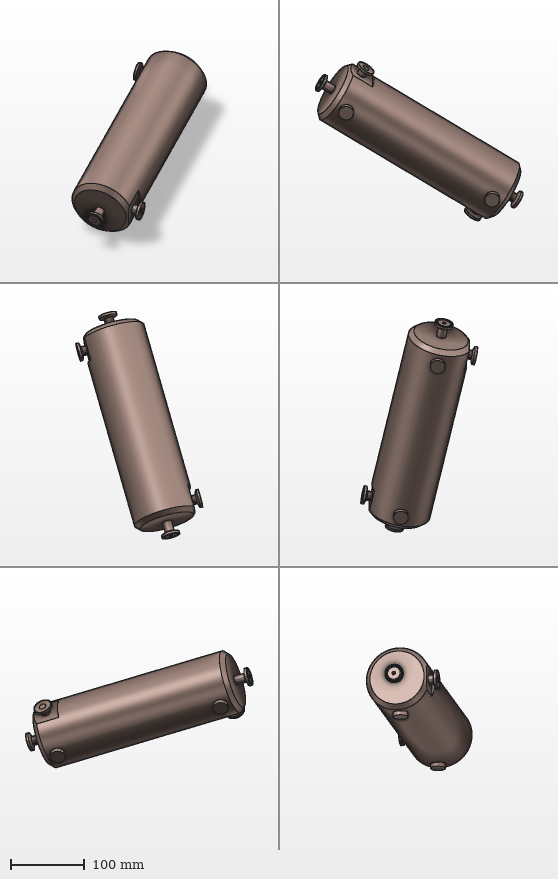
import cadquery as cq

BODY_RADIUS = 43.815
BODY_LENGTH = 279.4
BODY_CHAMFER = 6.35
HALF_LENGTH = BODY_LENGTH / 2

FLAT_DISTANCE = 40.0
FLAT_LENGTH = 38.1

FLANGE_RADIUS = 12.5
RIM_THICKNESS = 3.5
TAPER_LENGTH = 2.3
TUBE_RADIUS = 6.35

OVERALL_LENGTH = 320.04
END_NOZZLE_LENGTH = (OVERALL_LENGTH - BODY_LENGTH) / 2
END_BORE_RADIUS = 2.3
GROOVE_INNER_RADIUS = 8.8
GROOVE_OUTER_RADIUS = 11.7
GROOVE_DEPTH = 0.8

OVERALL_WIDTH = 104.65
SIDE_NOZZLE_LENGTH = OVERALL_WIDTH / 2 - FLAT_DISTANCE
SIDE_NOZZLE_Y = 120.0
DISH_RIM_RADIUS = 12.3
DISH_FLOOR_RADIUS = 11.7
DISH_DEPTH = 0.3
CENTER_RECESS_RADIUS = 4.8
CENTER_RECESS_DEPTH = 0.2

OVERALL_HEIGHT = 93.09
FOOT_RADIUS = 10.0
FOOT_Y = 118.11
FOOT_BOTTOM_Z = BODY_RADIUS - OVERALL_HEIGHT

NOZZLE_EMBED = 2.0


def make_body():
    """Solid cylinder with chamfered ends."""
    cylinder = cq.Workplane("XZ", origin=(0, HALF_LENGTH, 0)).circle(BODY_RADIUS).extrude(BODY_LENGTH)
    return cylinder.faces("<Y or >Y").chamfer(BODY_CHAMFER)


def flat_cutter(side):
    """Block removing the body beyond the flat on side -1 (-X, +Y end) or +1 (+X, -Y end)."""
    depth = BODY_RADIUS
    center_x = side * (FLAT_DISTANCE + depth / 2)
    center_y = -side * (HALF_LENGTH - FLAT_LENGTH / 2)
    return cq.Workplane("XY").box(depth, FLAT_LENGTH, 2 * BODY_RADIUS).translate((center_x, center_y, 0))


def make_nozzle(length):
    """Tube along +Z ending in a clamp flange with a conical back."""
    neck_z = length - RIM_THICKNESS - TAPER_LENGTH
    profile = (
        cq.Workplane("XZ")
        .moveTo(0, -NOZZLE_EMBED)
        .lineTo(TUBE_RADIUS, -NOZZLE_EMBED)
        .lineTo(TUBE_RADIUS, neck_z)
        .lineTo(FLANGE_RADIUS, length - RIM_THICKNESS)
        .lineTo(FLANGE_RADIUS, length)
        .lineTo(0, length)
        .close()
    )
    return profile.revolve(360, (0, 0, 0), (0, 1, 0))


def place(shape, base, direction):
    """Move a shape built along +Z so that it starts at base and points along direction."""
    plane = cq.Plane(origin=base, xDir=(0, 0, 1), normal=direction)
    return cq.Workplane("XY").newObject([shape.val().moved(cq.Location(plane))])


def make_end_bore():
    """Round bore of an end nozzle, standing on +Z like the nozzle profile."""
    depth = END_NOZZLE_LENGTH + NOZZLE_EMBED
    return cq.Workplane("XY").workplane(offset=-NOZZLE_EMBED).circle(END_BORE_RADIUS).extrude(depth)


def make_gasket_groove():
    """V-shaped ring groove in the flange face of an end nozzle, standing on +Z."""
    middle_radius = (GROOVE_INNER_RADIUS + GROOVE_OUTER_RADIUS) / 2
    section = (
        cq.Workplane("XZ")
        .moveTo(GROOVE_INNER_RADIUS, END_NOZZLE_LENGTH)
        .lineTo(GROOVE_OUTER_RADIUS, END_NOZZLE_LENGTH)
        .lineTo(middle_radius, END_NOZZLE_LENGTH - GROOVE_DEPTH)
        .close()
    )
    return section.revolve(360, (0, 0, 0), (0, 1, 0))


def make_dished_face():
    """Shallow dish in a side nozzle face, with a sloped lip and a round center recess."""
    dish_z = SIDE_NOZZLE_LENGTH - DISH_DEPTH
    recess_z = dish_z - CENTER_RECESS_DEPTH
    section = (
        cq.Workplane("XZ")
        .moveTo(0, SIDE_NOZZLE_LENGTH)
        .lineTo(DISH_RIM_RADIUS, SIDE_NOZZLE_LENGTH)
        .lineTo(DISH_FLOOR_RADIUS, dish_z)
        .lineTo(CENTER_RECESS_RADIUS, dish_z)
        .lineTo(CENTER_RECESS_RADIUS, recess_z)
        .lineTo(0, recess_z)
        .close()
    )
    return section.revolve(360, (0, 0, 0), (0, 1, 0))


def make_foot(y):
    """Round foot reaching from the body axis down below the body."""
    return cq.Workplane("XY").center(0, y).circle(FOOT_RADIUS).extrude(FOOT_BOTTOM_Z)


result = make_body()

for side in (-1, 1):
    result = result.cut(flat_cutter(side))
    result = result.union(make_foot(side * FOOT_Y))

    flat_point = (side * FLAT_DISTANCE, -side * SIDE_NOZZLE_Y, 0)
    outward = (side, 0, 0)
    result = result.union(place(make_nozzle(SIDE_NOZZLE_LENGTH), flat_point, outward))
    result = result.cut(place(make_dished_face(), flat_point, outward))

    end_point = (0, side * HALF_LENGTH, 0)
    axial = (0, side, 0)
    result = result.union(place(make_nozzle(END_NOZZLE_LENGTH), end_point, axial))
    result = result.cut(place(make_end_bore(), end_point, axial))
    result = result.cut(place(make_gasket_groove(), end_point, axial))